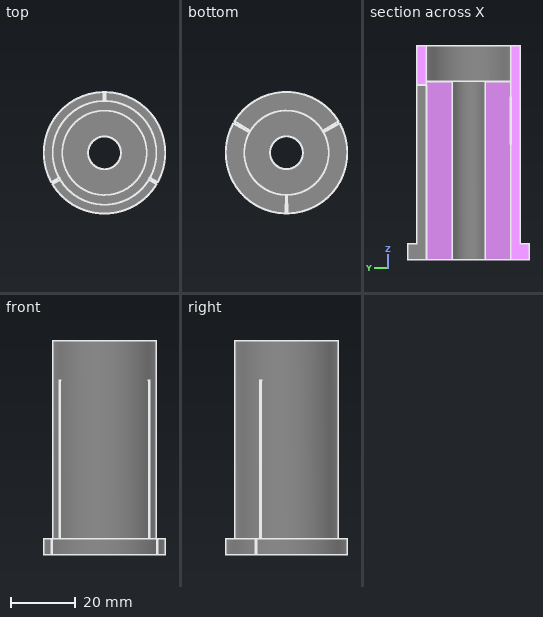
import cadquery as cq

total_height = 66.0
flange_radius = 18.75
flange_height = 5.0
sleeve_radius = 16.0
bore_radius = 13.0
plug_hole_radius = 5.0
plug_recess = 11.0
slot_width = 0.6
slot_top_setback = 12.15
slot_count = 3
first_slot_angle = 90.0

plug_height = total_height - plug_recess
slot_height = total_height - slot_top_setback


def make_slot_cutter(angle):
    """Thin radial blade reaching from the axis to beyond the flange rim."""
    blade_length = flange_radius + slot_width
    return (
        cq.Workplane("XY")
        .box(blade_length, slot_width, slot_height, centered=(False, True, False))
        .rotate((0, 0, 0), (0, 0, 1), angle)
    )


def make_sleeve():
    """Flanged tube split by equally spaced slots that open at its lower end."""
    flange = cq.Workplane("XY").circle(flange_radius).extrude(flange_height)
    tube = cq.Workplane("XY").circle(sleeve_radius).extrude(total_height)
    bore = cq.Workplane("XY").circle(bore_radius).extrude(total_height)
    sleeve = flange.union(tube).cut(bore)
    for index in range(slot_count):
        angle = first_slot_angle + index * 360.0 / slot_count
        sleeve = sleeve.cut(make_slot_cutter(angle))
    return sleeve


def make_plug():
    """Cylinder with a central through hole, filling the lower part of the bore."""
    return cq.Workplane("XY").circle(bore_radius).circle(plug_hole_radius).extrude(plug_height)


sleeve = make_sleeve()
plug = make_plug()

result = cq.Compound.makeCompound([sleeve.val(), plug.val()])